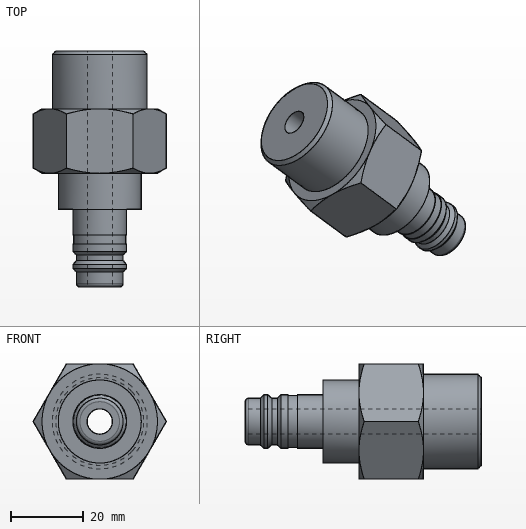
import cadquery as cq
import math

total_length = 65.5
bore_radius = 3.5

tip_radius = 6.5
tip_rounding = 1.0
stem_radius = 7.45
relief_radius = 7.3
bead_start = 4.2
bead_end = 6.2
groove_floor_start = 7.4
groove_floor_end = 8.9
relief_start = 11.9
relief_end = 14.5
shoulder_step = stem_radius - tip_radius

collar_start = 21.55
collar_radius = 11.5
hex_start = 31.6
hex_end = 49.45
hex_across_flats = 32.0
hex_chamfer_angle = 30.0
rear_radius = 13.15
rear_chamfer = 1.0


def turned(profile):
    """Revolve a closed (radius, Y) sketch about the Y axis."""
    return profile.close().revolve(360, (0, 0, 0), (0, 1, 0))


def make_plug():
    """Grooved plug and collar, reaching into the hexagon."""
    rounding_mid = tip_rounding * math.sqrt(0.5)
    profile = (
        cq.Workplane("XY")
        .lineTo(tip_radius - tip_rounding, 0)
        .threePointArc(
            (tip_radius - tip_rounding + rounding_mid, tip_rounding - rounding_mid),
            (tip_radius, tip_rounding),
        )
        .lineTo(tip_radius, bead_start)
        .lineTo(stem_radius, bead_start + shoulder_step)
        .lineTo(stem_radius, bead_end)
        .lineTo(tip_radius, groove_floor_start)
        .lineTo(tip_radius, groove_floor_end)
        .lineTo(stem_radius, groove_floor_end + shoulder_step)
        .lineTo(stem_radius, relief_start)
        .lineTo(relief_radius, relief_start)
        .lineTo(relief_radius, relief_end)
        .lineTo(stem_radius, relief_end)
        .lineTo(stem_radius, collar_start)
        .lineTo(collar_radius, collar_start)
        .lineTo(collar_radius, hex_end)
        .lineTo(0, hex_end)
    )
    return turned(profile)


def make_hexagon():
    """Hexagon with corners on X, its corners cut back by a cone at both ends."""
    corner_diameter = hex_across_flats / math.cos(math.pi / 6)
    flat_radius = hex_across_flats / 2
    corner_radius = corner_diameter / 2
    chamfer_depth = (corner_radius - flat_radius) * math.tan(math.radians(hex_chamfer_angle))
    prism = (
        cq.Workplane("XZ", origin=(0, hex_end, 0))
        .polygon(6, corner_diameter)
        .extrude(hex_end - hex_start)
    )
    envelope = (
        cq.Workplane("XY")
        .moveTo(0, hex_start)
        .lineTo(flat_radius, hex_start)
        .lineTo(corner_radius, hex_start + chamfer_depth)
        .lineTo(corner_radius, hex_end - chamfer_depth)
        .lineTo(flat_radius, hex_end)
        .lineTo(0, hex_end)
    )
    return prism.intersect(turned(envelope))


def make_rear_body():
    """Plain cylinder behind the hexagon, chamfered at its free end."""
    return (
        cq.Workplane("XZ", origin=(0, total_length, 0))
        .circle(rear_radius)
        .extrude(total_length - hex_start)
        .faces(">Y")
        .chamfer(rear_chamfer)
    )


def make_bore():
    """Through bore along the axis."""
    return (
        cq.Workplane("XZ", origin=(0, total_length, 0))
        .circle(bore_radius)
        .extrude(total_length)
    )


result = make_plug().union(make_hexagon()).union(make_rear_body()).cut(make_bore())